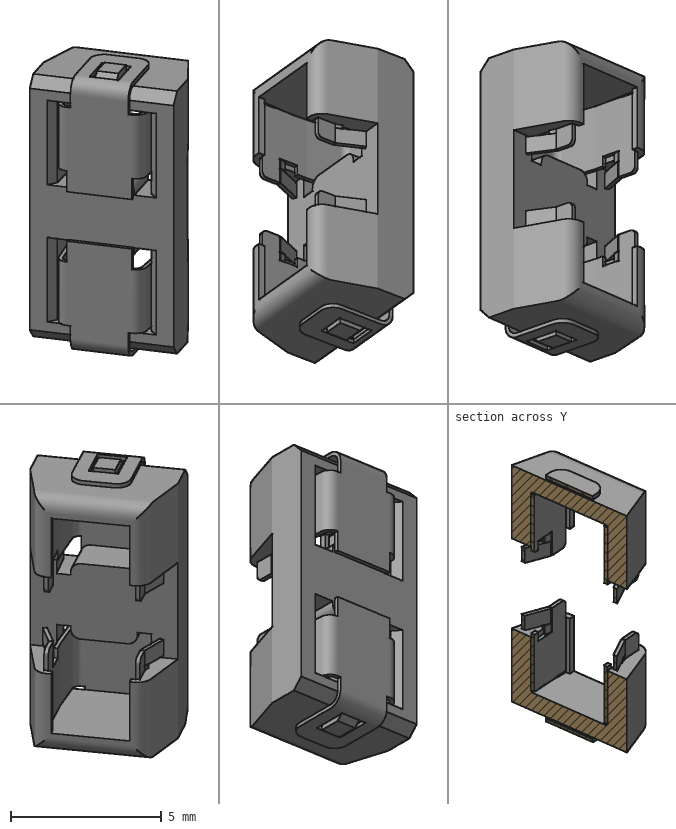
import cadquery as cq
import math


housing_width = 5.03
housing_half_height = 4.69
base_depth = 1.49
housing_depth = 3.55
block_start = 1.77
block_back_half_width = 1.87
back_fillet = 0.53
end_chamfer = 0.38

window_bottom = 0.94
window_top = 3.95
window_mouth_half_width = 1.9
window_half_width = 1.65
window_inner_half_width = 1.62
window_flare_depth = 0.3

ledge_half_width = 1.14
ledge_top = 1.39
ledge_round = 0.35

cavity_back = 3.32
cavity_back_half_width = 1.5
rear_opening_half_width = 1.34

boss_half_width = 0.38
boss_top = 4.955
boss_back = 1.46

sheet = 0.15
contact_front = -0.25
pad_half_width = 1.14
pad_bottom = 0.88
side_bottom = 1.63
side_top = 3.89
side_bend = 0.4
strap_half_width = 1.01
strap_top = 4.88
strap_bend = 0.51
strap_back = 2.36
strap_corner = 0.5
strap_slot_half_width = 0.51
strap_slot_back = 1.58

wall_half_width = 1.64
wall_notch_front = 1.85
wall_notch_back = 2.34
wall_notch_top = 1.98
wall_fold = 2.59
wall_back = 3.3
wall_low_end = 1.04
wall_corner = 0.2
flap_front = 1.63
flap_angle = 24.0
tab_angle = 17.4


def box(x, y, z):
    """Box between the given (low, high) pairs along X, Y and Z."""
    size = (x[1] - x[0], y[1] - y[0], z[1] - z[0])
    return cq.Workplane("XY").box(*size, centered=False).translate((x[0], y[0], z[0]))


def centred_box(half_width, y, z):
    return box((-half_width, half_width), y, z)


def both_ends(body):
    """The body together with its mirror image across z = 0."""
    return body.union(body.mirror("XY"))


def make_base():
    base = centred_box(housing_width / 2, (0, base_depth), (-housing_half_height, housing_half_height))
    return base.faces("<Y").edges("|X").chamfer(end_chamfer)


def make_block():
    """Tapered block behind the base, rounded on three edges of its back face."""
    block = (
        cq.Workplane("XY", origin=(0, 0, block_start))
        .moveTo(-housing_width / 2, base_depth)
        .lineTo(housing_width / 2, base_depth)
        .lineTo(block_back_half_width, housing_depth)
        .lineTo(-block_back_half_width, housing_depth)
        .close()
        .extrude(housing_half_height - block_start)
    )
    return block.faces(">Y").edges("|Z or >Z").fillet(back_fillet)


def make_window():
    """Window through the base, with flared side walls."""
    return (
        cq.Workplane("XY", origin=(0, 0, window_bottom))
        .moveTo(-window_mouth_half_width, 0)
        .lineTo(window_mouth_half_width, 0)
        .lineTo(window_half_width, window_flare_depth)
        .lineTo(window_inner_half_width, base_depth)
        .lineTo(-window_inner_half_width, base_depth)
        .lineTo(-window_half_width, window_flare_depth)
        .close()
        .extrude(window_top - window_bottom)
    )


def make_ledge():
    ledge = centred_box(ledge_half_width, (0, base_depth), (window_bottom, ledge_top))
    return ledge.faces(">Z").edges("|Y").fillet(ledge_round)


def make_cavity():
    """Cavity of a block, open towards the middle of the housing and through the back."""
    height = window_top - block_start
    cavity = (
        cq.Workplane("XY", origin=(0, 0, block_start))
        .moveTo(-window_inner_half_width, base_depth)
        .lineTo(window_inner_half_width, base_depth)
        .lineTo(cavity_back_half_width, cavity_back)
        .lineTo(-cavity_back_half_width, cavity_back)
        .close()
        .extrude(height)
    )
    opening = centred_box(
        rear_opening_half_width, (base_depth, housing_depth), (block_start, window_top)
    )
    relief = centred_box(wall_half_width, (base_depth, wall_back), (block_start, wall_notch_top))
    return cavity.union(opening).union(relief)


def make_boss():
    """Boss whose front slope continues the chamfer of the base."""
    boss_height = boss_top - housing_half_height
    return (
        cq.Workplane("YZ", origin=(-boss_half_width, 0, 0))
        .moveTo(boss_back, housing_half_height)
        .lineTo(end_chamfer, housing_half_height)
        .lineTo(end_chamfer + boss_height, boss_top)
        .lineTo(boss_back, boss_top)
        .close()
        .extrude(2 * boss_half_width)
    )


def make_housing(contacts):
    housing = make_base().union(both_ends(make_block()))
    housing = housing.cut(both_ends(make_window().union(make_cavity())))
    housing = housing.union(both_ends(make_ledge())).union(both_ends(make_boss()))
    for contact in contacts:
        housing = housing.cut(contact)
    return housing


def make_strap():
    """Strap bent over the end of the housing, slotted for the boss."""
    bend_z = strap_top - strap_bend
    bend_y = contact_front + strap_bend
    inner_bend = strap_bend - sheet
    outer_mid = strap_bend * math.sqrt(0.5)
    inner_mid = inner_bend * math.sqrt(0.5)
    strap = (
        cq.Workplane("YZ", origin=(-strap_half_width, 0, 0))
        .moveTo(contact_front, pad_bottom)
        .lineTo(contact_front, bend_z)
        .threePointArc((bend_y - outer_mid, bend_z + outer_mid), (bend_y, strap_top))
        .lineTo(strap_back, strap_top)
        .lineTo(strap_back, strap_top - sheet)
        .lineTo(bend_y, strap_top - sheet)
        .threePointArc((bend_y - inner_mid, bend_z + inner_mid), (contact_front + sheet, bend_z))
        .lineTo(contact_front + sheet, pad_bottom)
        .close()
        .extrude(2 * strap_half_width)
    )
    strap = strap.faces(">Y").edges("|Z").fillet(strap_corner)
    slot = centred_box(
        strap_slot_half_width, (bend_y, strap_slot_back), (strap_top - 2 * sheet, strap_top + sheet)
    )
    return strap.cut(slot)


def make_channel_fill(inset):
    """Solid between the sides of the contact, with its surface set in by the given amount."""
    front = contact_front + inset
    bend = side_bend - inset
    bend_centre_y = contact_front + side_bend
    wall = wall_half_width - inset
    run = wall - pad_half_width
    rise = base_depth - bend_centre_y
    turn = math.atan2(rise, run) - math.acos(bend / math.hypot(run, rise))

    def bend_point(angle):
        return (pad_half_width + bend * math.cos(angle), bend_centre_y + bend * math.sin(angle))

    half = (
        cq.Workplane("XY", origin=(0, 0, side_bottom))
        .moveTo(0, front)
        .lineTo(pad_half_width, front)
        .threePointArc(bend_point(-math.pi / 4), bend_point(turn))
        .lineTo(wall, base_depth)
        .lineTo(wall, wall_back)
        .lineTo(0, wall_back)
        .close()
        .extrude(side_top - side_bottom)
    )
    return half.union(half.mirror("YZ"))


def make_channel():
    """Pad with both sides rolled back into walls."""
    pad = centred_box(
        pad_half_width, (contact_front, contact_front + sheet), (pad_bottom, side_top)
    )
    return pad.union(make_channel_fill(0).cut(make_channel_fill(sheet)))


def make_bent_plate(front, angle, bottom, top):
    """Plate from the fold line of the -X wall, flared outwards as it runs forwards."""
    slope = math.radians(angle)
    length = (wall_fold - front) / math.cos(slope)
    plate = box((0, sheet), (-length, 0), (bottom, top))
    plate = plate.rotate((0, 0, 0), (0, 0, 1), -angle)
    return plate.translate((-wall_half_width, wall_fold, 0))


def make_wall_details():
    """Leg, locking flap and tab of the -X wall."""
    leg = box(
        (-wall_half_width, -wall_half_width + sheet),
        (wall_fold, wall_back),
        (wall_low_end, wall_notch_top),
    )
    leg = leg.edges("|X and >Y and <Z").fillet(wall_corner)
    flap = make_bent_plate(flap_front, flap_angle, wall_low_end, side_bottom)
    tab = make_bent_plate(wall_notch_back, tab_angle, side_bottom, wall_notch_top)
    return leg.union(flap).union(tab)


def make_contact():
    notch = centred_box(
        housing_width, (wall_notch_front, wall_fold), (side_bottom, wall_notch_top)
    )
    details = make_wall_details()
    contact = make_strap().union(make_channel().cut(notch))
    return contact.union(details).union(details.mirror("YZ"))


upper_contact = make_contact()
contacts = [upper_contact, upper_contact.mirror("XY")]
housing = make_housing(contacts)

result = cq.Compound.makeCompound([housing.val(), *[contact.val() for contact in contacts]])